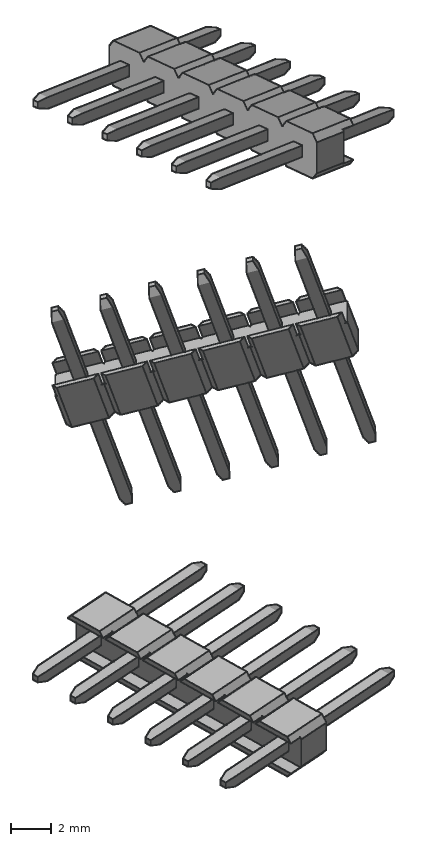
import cadquery as cq


pin_count = 6
row_length = 15.24
pitch = row_length / pin_count
housing_height = 2.5
housing_depth = 2.55
corner_run = 0.3
corner_drop = 0.4

channel_wall = 0.3
channel_depth = 0.7
channel_height = housing_height - 2 * channel_wall

pin_offset = -0.1
pin_width = 0.64
pin_front_length = 6.07
pin_rear_length = 3.8
tip_length = 0.53
tip_width = 0.35


def make_cell(center_x):
    """One housing block with its four corners cut, as wide as the pitch."""
    half_width = pitch / 2
    half_height = housing_height / 2
    flat_x = half_width - corner_run
    flat_z = half_height - corner_drop
    outline = [
        (-half_width, -flat_z),
        (-flat_x, -half_height),
        (flat_x, -half_height),
        (half_width, -flat_z),
        (half_width, flat_z),
        (flat_x, half_height),
        (-flat_x, half_height),
        (-half_width, flat_z),
    ]
    cell = cq.Workplane("XZ").polyline(outline).close().extrude(-housing_depth)
    return cell.translate((center_x, 0, 0))


def make_channel():
    """Cutter for the channel that is open at the rear face and both row ends."""
    center_y = housing_depth - channel_depth / 2
    channel = cq.Workplane("XY").box(row_length, channel_depth, channel_height)
    return channel.translate((0, center_y, 0))


def make_tip(base_y, direction):
    """Tapered pin end; direction is +1 toward +Y and -1 toward -Y."""
    normal = (0, direction, 0)
    base = cq.Plane(origin=(0, base_y, 0), xDir=(1, 0, 0), normal=normal)
    return (
        cq.Workplane(base)
        .rect(pin_width, pin_width)
        .workplane(offset=tip_length)
        .rect(tip_width, tip_width)
        .loft(ruled=True)
    )


def make_pin(center_x):
    """Square pin with a tapered tip at each end."""
    shank_front = tip_length - pin_front_length
    shank_rear = housing_depth + pin_rear_length - tip_length
    shank_length = shank_rear - shank_front
    shank_center = (shank_front + shank_rear) / 2
    shank = cq.Workplane("XY").box(pin_width, shank_length, pin_width)
    shank = shank.translate((0, shank_center, 0))
    pin = shank.union(make_tip(shank_front, -1)).union(make_tip(shank_rear, 1))
    return pin.translate((center_x, 0, 0))


pin_positions = [(index - (pin_count - 1) / 2) * pitch for index in range(pin_count)]

housing = make_cell(pin_positions[0])
for position in pin_positions[1:]:
    housing = housing.union(make_cell(position))

result = housing.cut(make_channel())
for position in pin_positions:
    result = result.union(make_pin(position + pin_offset))